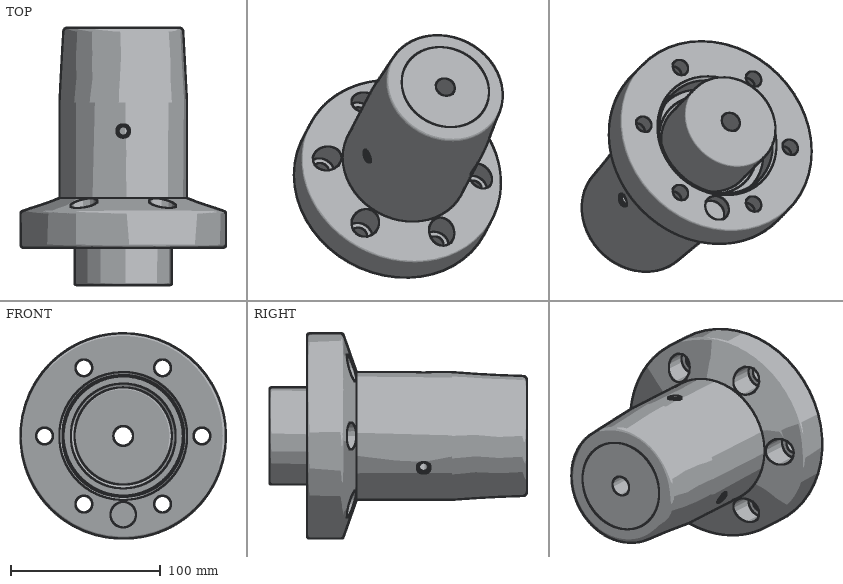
import cadquery as cq
import math


flange_diameter = 137.2
flange_rim_length = 24.1
flange_length = 33.2
flange_edge_radius = 2.0

body_diameter = 85.4
body_end = 96.9
housing_length = 146.88
tail_diameter = 80.0
tail_edge_radius = 3.0

recess_mouth_radius = 2.0
recess_front_diameter = 81.4
recess_floor_diameter = 79.6
recess_taper_depth = 9.3
recess_depth = 16.5

pin_head_diameter = 65.0
pin_shank_diameter = 60.0
pin_shoulder_y = flange_length
pin_projection = 25.0
pin_edge_radius = 1.5
pin_bore_diameter = 13.0
bore_mouth_radius = 2.5

bolt_circle_radius = 52.5
bolt_hole_count = 6
bolt_hole_diameter = 11.0
bolt_counterbore_diameter = 18.0
bolt_seat_y = 12.0
blind_hole_diameter = 17.0
blind_hole_depth = 8.5

radial_hole_y = 77.9
radial_hole_count = 3
radial_hole_diameter = 6.4
radial_counterbore_diameter = 9.0
radial_counterbore_depth = 1.6


def cylinder_y(diameter, start, end, x=0.0, z=0.0):
    """Cylinder along Y from start to end, centred at (x, z)."""
    axis_start = cq.Vector(x, start, z)
    return cq.Workplane(cq.Solid.makeCylinder(diameter / 2, end - start, axis_start, cq.Vector(0, 1, 0)))


def revolve_about_y(profile):
    return profile.close().revolve(360, (0, 0, 0), (0, 1, 0))


def housing_blank():
    """Flange with a conical back, straight body and tapered tail."""
    flange_radius = flange_diameter / 2
    body_radius = body_diameter / 2
    tail_radius = tail_diameter / 2
    outline = (
        cq.Workplane("XY")
        .lineTo(flange_radius, 0)
        .lineTo(flange_radius, flange_rim_length)
        .lineTo(body_radius, flange_length)
        .lineTo(body_radius, body_end)
        .lineTo(tail_radius, housing_length)
        .lineTo(0, housing_length)
    )
    blank = revolve_about_y(outline)
    largest_circles = cq.selectors.RadiusNthSelector(-1)
    blank = blank.edges(largest_circles).fillet(flange_edge_radius)
    return blank.faces(">Y").edges().fillet(tail_edge_radius)


def recess_and_bore():
    """Recess tapering toward its floor, followed by the stepped pin bore; both mouths are rounded."""
    front_radius = recess_front_diameter / 2
    floor_radius = recess_floor_diameter / 2
    bore_radius = pin_head_diameter / 2
    shank_radius = pin_shank_diameter / 2
    outline = (
        cq.Workplane("XY")
        .lineTo(front_radius + recess_mouth_radius, 0)
        .radiusArc((front_radius, recess_mouth_radius), -recess_mouth_radius)
        .lineTo(front_radius, recess_taper_depth)
        .lineTo(floor_radius, recess_depth)
        .lineTo(bore_radius + bore_mouth_radius, recess_depth)
        .radiusArc((bore_radius, recess_depth + bore_mouth_radius), -bore_mouth_radius)
        .lineTo(bore_radius, pin_shoulder_y)
        .lineTo(shank_radius, pin_shoulder_y)
        .lineTo(shank_radius, housing_length)
        .lineTo(0, housing_length)
    )
    return revolve_about_y(outline)


def bolt_holes():
    """Through holes with a deep counterbore opening on the conical back of the flange."""
    holes = cq.Workplane()
    for index in range(bolt_hole_count):
        angle = math.radians(360 * index / bolt_hole_count)
        x = bolt_circle_radius * math.cos(angle)
        z = bolt_circle_radius * math.sin(angle)
        holes = holes.add(cylinder_y(bolt_hole_diameter, 0, flange_length, x, z))
        holes = holes.add(cylinder_y(bolt_counterbore_diameter, bolt_seat_y, flange_length, x, z))
    return holes.combine()


def radial_holes():
    """Counterbored holes running from the body surface into the pin bore, the first one at the top."""
    outer_radius = body_diameter / 2
    counterbore_floor = outer_radius - radial_counterbore_depth
    bore = (
        cq.Workplane("XY", origin=(0, radial_hole_y, 0))
        .circle(radial_hole_diameter / 2)
        .extrude(outer_radius)
    )
    counterbore = (
        cq.Workplane("XY", origin=(0, radial_hole_y, counterbore_floor))
        .circle(radial_counterbore_diameter / 2)
        .extrude(2 * radial_counterbore_depth)
    )
    top_hole = bore.union(counterbore)
    holes = top_hole
    for index in range(1, radial_hole_count):
        turn = 360 * index / radial_hole_count
        holes = holes.union(top_hole.rotate((0, 0, 0), (0, 1, 0), turn))
    return holes


def make_housing():
    blind_hole = cylinder_y(blind_hole_diameter, 0, blind_hole_depth, z=-bolt_circle_radius)
    return (
        housing_blank()
        .cut(recess_and_bore())
        .cut(bolt_holes())
        .cut(blind_hole)
        .cut(radial_holes())
    )


def make_pin():
    """Pin with a wider head in front and a shank ending flush with the tail, bored along its axis."""
    head = cylinder_y(pin_head_diameter, -pin_projection, pin_shoulder_y)
    head = head.faces("<Y").edges().fillet(pin_edge_radius)
    pin = head.union(cylinder_y(pin_shank_diameter, pin_shoulder_y, housing_length))
    return pin.cut(cylinder_y(pin_bore_diameter, -pin_projection, housing_length))


housing = make_housing().solids()
pin = make_pin().solids()

result = cq.Compound.makeCompound([housing.val(), pin.val()])